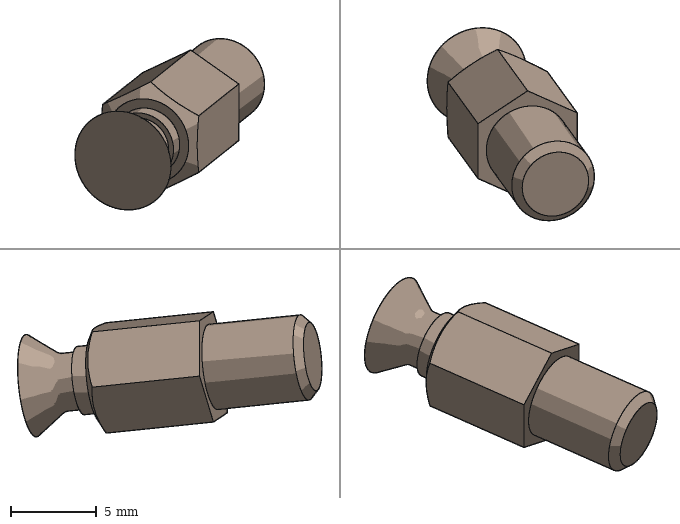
import cadquery as cq
import math

total_length = 17.0

hex_across_flats = 6.0
shank_diameter = 5.0
collar_diameter = 4.01
neck_diameter = 3.4
flare_diameter = 6.0

shank_length = 6.0
shank_chamfer = 0.5
hex_length = 7.0
collar_length = 1.0

hex_chamfer_angle = 30.0
hex_face_diameter = 5.13

flare_half_angle = 35.5
blend_radius = 0.75

shank_start = total_length - shank_length
hex_start = shank_start - hex_length
collar_start = hex_start - collar_length
half_angle = math.radians(flare_half_angle)
blend_center_radius = neck_diameter / 2 + blend_radius
blend_end_radius = blend_center_radius - blend_radius * math.cos(half_angle)
flare_cone_length = (flare_diameter / 2 - blend_end_radius) / math.tan(half_angle)
neck_start = flare_cone_length + blend_radius * math.sin(half_angle)
blend_mid_radius = blend_center_radius - blend_radius * math.cos(half_angle / 2)
blend_mid = neck_start - blend_radius * math.sin(half_angle / 2)

hex_across_corners = hex_across_flats / math.cos(math.pi / 6)


def cylinder(diameter, start, end):
    """Cylinder on the Y axis between two stations."""
    plane = cq.Workplane("XZ", origin=(0, end, 0))
    return plane.circle(diameter / 2).extrude(end - start)


def revolve_about_y(profile):
    """Full turn of a closed XY profile about the Y axis."""
    return profile.close().revolve(360, (0, 0, 0), (0, 1, 0))


def make_flare():
    """Solid cone that blends into the neck radius."""
    profile = (
        cq.Workplane("XY")
        .lineTo(flare_diameter / 2, 0)
        .lineTo(blend_end_radius, flare_cone_length)
        .threePointArc((blend_mid_radius, blend_mid), (neck_diameter / 2, neck_start))
        .lineTo(0, neck_start)
    )
    return revolve_about_y(profile)


def make_hexagon():
    """Hexagonal prism with corners up and down, chamfered by a cone at its head side."""
    prism = (
        cq.Workplane("XZ", origin=(0, shank_start, 0))
        .polygon(6, hex_across_corners)
        .extrude(hex_length)
        .rotate((0, 0, 0), (0, 1, 0), 30)
    )
    face_radius = hex_face_diameter / 2
    corner_radius = hex_across_corners / 2
    slope = math.tan(math.radians(90 - hex_chamfer_angle))
    chamfer_length = (corner_radius - face_radius) / slope
    envelope = (
        cq.Workplane("XY")
        .moveTo(0, hex_start)
        .lineTo(face_radius, hex_start)
        .lineTo(corner_radius, hex_start + chamfer_length)
        .lineTo(corner_radius, shank_start)
        .lineTo(0, shank_start)
    )
    return prism.intersect(revolve_about_y(envelope))


shank = cylinder(shank_diameter, shank_start, total_length).faces(">Y").chamfer(shank_chamfer)
collar = cylinder(collar_diameter, collar_start, hex_start)
neck = cylinder(neck_diameter, neck_start, collar_start)

result = make_flare().union(neck).union(collar).union(make_hexagon()).union(shank)